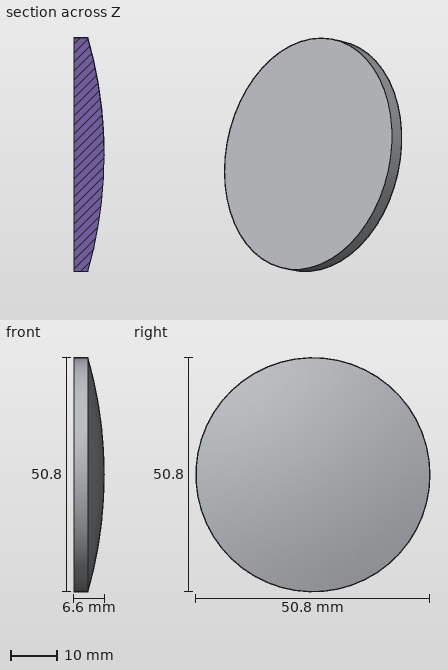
import cadquery as cq

diameter = 50.8
total_thickness = 6.6
edge_thickness = 3.05

radius = diameter / 2
dome_height = total_thickness - edge_thickness
sphere_radius = (radius**2 + dome_height**2) / (2 * dome_height)
sphere_center_x = total_thickness - sphere_radius

blank = cq.Workplane("YZ").circle(radius).extrude(total_thickness)

sphere = cq.Workplane("YZ", origin=(sphere_center_x, 0, 0)).sphere(sphere_radius)

result = blank.intersect(sphere)